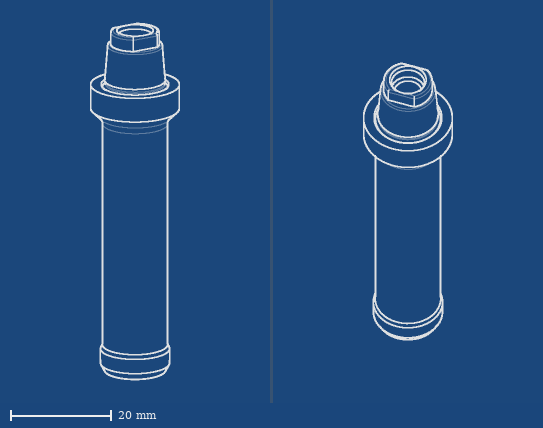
import cadquery as cq
import math

length = 71.45
stem_diameter = 13.1
stem_radius = stem_diameter / 2

collar_diameter = 17.8
collar_radius = collar_diameter / 2
collar_top = 60.1
collar_bottom = 55.1
blend_radius = 2.0

foot_end_radius = 6.15
foot_radius = 6.9
foot_bulge = 0.1
foot_taper_height = 1.5
foot_swell_top = 4.5
foot_top = 5.35

relief_radius = 6.8
relief_floor_radius = 6.5
relief_depth = 0.4
relief_fillet = 0.5
neck_radius = 5.9

cone_base_radius = 6.1
cone_base = 61.0
cone_lip_height = 0.6
cone_top_radius = 5.5
cone_top = 68.6
cone_edge = 0.35

nub_radius = 4.85
nub_edge = 0.4
flat_width = 8.0

mouth_radius = 3.65
mouth_depth = 0.8
bore_radius = 3.3
bore_depth = 2.85
pilot_radius = 2.7
pilot_depth = 7.15
drill_half_angle = math.radians(59)


def turned_body():
    """Revolve the outer half-profile about Z."""
    blend_shift = blend_radius * (1 - math.cos(math.radians(45)))
    blend_drop = blend_radius * math.sin(math.radians(45))
    blend_top_radius = stem_radius + blend_shift
    blend_top = collar_bottom - (collar_radius - blend_top_radius)
    blend_bottom = blend_top - blend_drop
    half_angle = math.radians(22.5)
    blend_mid = (
        stem_radius + blend_radius * (1 - math.cos(half_angle)),
        blend_bottom + blend_radius * math.sin(half_angle),
    )
    foot_mid = (foot_radius + foot_bulge, (foot_taper_height + foot_swell_top) / 2)
    relief_floor = collar_top - relief_depth
    relief_sag = relief_fillet * (1 - math.sin(math.radians(45)))
    relief_mid = (neck_radius + relief_sag, relief_floor + relief_sag)
    profile = (
        cq.Workplane("XZ")
        .moveTo(0, 0)
        .lineTo(foot_end_radius, 0)
        .lineTo(foot_radius, foot_taper_height)
        .threePointArc(foot_mid, (foot_radius, foot_swell_top))
        .lineTo(stem_radius, foot_top)
        .lineTo(stem_radius, blend_bottom)
        .threePointArc(blend_mid, (blend_top_radius, blend_top))
        .lineTo(collar_radius, collar_bottom)
        .lineTo(collar_radius, collar_top)
        .lineTo(relief_radius, collar_top)
        .lineTo(relief_floor_radius, relief_floor)
        .lineTo(neck_radius + relief_fillet, relief_floor)
        .threePointArc(relief_mid, (neck_radius, relief_floor + relief_fillet))
        .lineTo(neck_radius, cone_base - cone_lip_height)
        .lineTo(cone_base_radius, cone_base)
        .lineTo(cone_top_radius, cone_top - cone_edge)
        .radiusArc((cone_top_radius - cone_edge, cone_top), -cone_edge)
        .lineTo(nub_radius, cone_top)
        .lineTo(nub_radius, length)
        .lineTo(0, length)
        .close()
    )
    return profile.revolve(360, (0, 0, 0), (0, 1, 0))


def flat_cutter(side):
    """Block that trims the nub on the +X or -X side."""
    reach = collar_radius
    return (
        cq.Workplane("XY")
        .workplane(offset=cone_top)
        .center(side * (flat_width + reach) / 2, 0)
        .rect(reach, 2 * collar_radius)
        .extrude(length - cone_top)
    )


def bore():
    """Tapered, stepped bore ending in a drill point."""
    pilot_floor = length - pilot_depth
    tip = pilot_floor - pilot_radius / math.tan(drill_half_angle)
    profile = (
        cq.Workplane("XZ")
        .moveTo(0, length)
        .lineTo(mouth_radius, length)
        .lineTo(bore_radius, length - mouth_depth)
        .lineTo(bore_radius, length - bore_depth)
        .lineTo(pilot_radius, length - bore_depth - (bore_radius - pilot_radius))
        .lineTo(pilot_radius, pilot_floor)
        .lineTo(0, tip)
        .close()
    )
    return profile.revolve(360, (0, 0, 0), (0, 1, 0))


body = turned_body()
for side in (-1, 1):
    body = body.cut(flat_cutter(side))
body = body.faces(">Z").edges().fillet(nub_edge)
result = body.cut(bore())